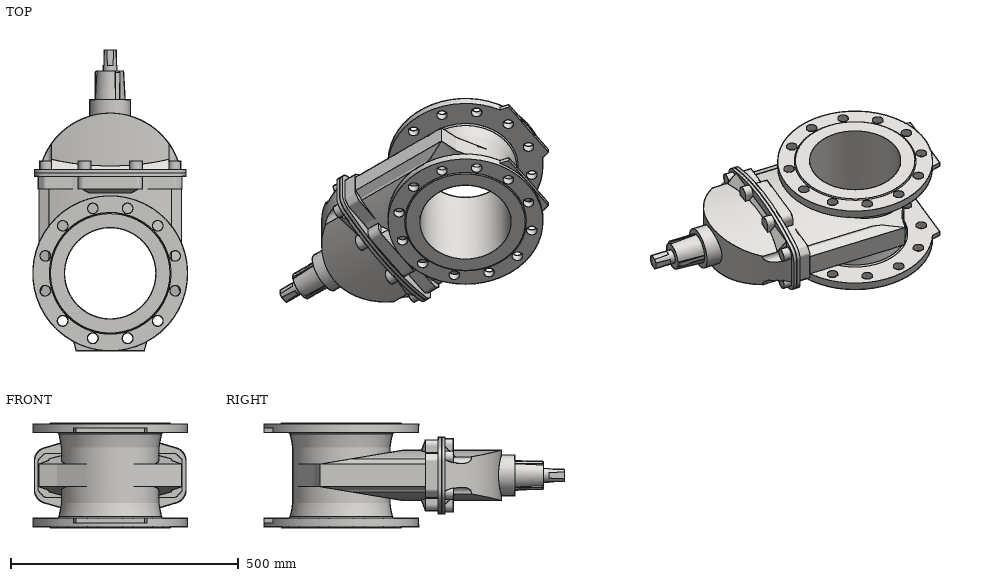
import cadquery as cq
import math


FACE_TO_FACE = 230.0
BORE_DIA = 200.0
PIPE_DIA = 214.0
FLANGE_DIA = 340.0
FLANGE_THICKNESS = 19.0
RAISED_FACE_HEIGHT = 2.0
RAISED_FACE_BASE_RADIUS = 133.5
RAISED_FACE_TOP_RADIUS = 131.0
BOLT_CIRCLE_DIA = 295.0
BOLT_HOLE_DIA = 23.0
BOLT_HOLE_COUNT = 12
STRAIGHT_PIPE_HALF_LENGTH = 61.0
NECK_RADIUS = 112.5
NECK_LIP_RADIUS = 115.5
NECK_LIP_HEIGHT = 3.5

FOOT_TOP_Y = -149.0
FOOT_TOP_HALF_WIDTH = 80.5
FOOT_BOTTOM_HALF_WIDTH = 75.0
FOOT_THICKNESS = 10.5

HOUSING_HALF_WIDTH = 156.5
HOUSING_HALF_DEPTH = 55.5
CROWN_HALF_WIDTH = 134.0
CROWN_EDGE_Z = 36.2
GROOVE_X = 135.3
GROOVE_Z = 33.0
SHOULDER_X = 138.5
SHOULDER_Z = 31.4
SIDE_HALF_DEPTH = 24.7
TAPER_START_Y = 136.0
SIDE_END_Y = -46.7
HOUSING_BEND_X = 116.5
HOUSING_BEND_Y = -58.0
TANGENT_ANGLE = math.radians(61.0)

JOINT_BOTTOM_Y = 212.5
JOINT_TOP_Y = 228.0
JOINT_HALF_WIDTH = 166.6
JOINT_HALF_DEPTH = 84.7
JOINT_CROWN_RADIUS = 448.0
JOINT_CORNER_RADIUS = 30.0
SEAM_WIDTH = 0.6
SEAM_DEPTH = 1.0

PAD_BOTTOM_Y = 184.5
SCREW_BOSS_DIA = 28.0
SCREW_BOSS_RADIUS = SCREW_BOSS_DIA / 2
CORNER_PAD_HALF_WIDTH = 158.0
CORNER_PAD_HALF_DEPTH = 48.2
CORNER_PAD_CHAMFER = 14.0
CORNER_PAD_BLEND_RADIUS = 8.0
CENTRE_PAD_HALF_WIDTH = 70.5
CENTRE_PAD_HALF_DEPTH = 78.0
PAD_TIP_Y = 176.0
PAD_TIP_BASE_HALF_WIDTH = 61.0
PAD_TIP_HALF_WIDTH = 46.0
SCREW_HEIGHT = 18.0
INNER_SCREW_X = CENTRE_PAD_HALF_WIDTH - SCREW_BOSS_RADIUS
INNER_SCREW_Z = 66.6
OUTER_SCREW_X = 141.0
OUTER_SCREW_Z = 39.0

DOME_RADIUS = 158.0
DOME_TOP_Y = 351.5
DOME_CROWN_RADIUS = 574.0
SCOOP_RADIUS = 12.5
SCOOP_Z = 38.5
SCOOP_TOP_Y = 290.0
SKIRT_BASE_HALF_DEPTH = 63.0
SKIRT_HALF_WIDTH = OUTER_SCREW_X - SCOOP_RADIUS
SKIRT_HEIGHT = 26.0

COLLAR_RADIUS = 45.0
COLLAR_TOP_Y = 381.0
GLAND_TOP_Y = 444.0
GLAND_BASE_RADIUS = 33.0
GLAND_TOP_RADIUS = 29.5
GLAND_RIB_RADIUS = 33.3
GLAND_RIB_WIDTH = 10.5
GLAND_RIB_CHAMFER = 3.0
GLAND_RIB_COUNT = 3
STEM_TOP_Y = 490.06
STEM_RADIUS = 15.4
STEM_FLAT_END_Y = 455.5
STEM_FLAT_TOP_DISTANCE = 13.4
STEM_FLAT_END_DISTANCE = 14.2


def plane_at_y(y):
    """Sketch plane across the stem axis: local x = -X, local y = Z, normal = +Y."""
    return cq.Workplane(cq.Plane(origin=(0, y, 0), xDir=(-1, 0, 0), normal=(0, 1, 0)))


def disc(y_start, y_end, radius, x=0, z=0):
    """Cylinder parallel to the stem axis, centred on (x, z)."""
    return plane_at_y(y_start).center(-x, z).circle(radius).extrude(y_end - y_start)


def crowned_block(half_width, half_depth, crown_radius, y_start, y_end):
    """Block whose upper and lower sides bulge as arcs of crown_radius."""
    edge_z = half_depth - crown_radius + math.sqrt(crown_radius**2 - half_width**2)
    return (
        plane_at_y(y_start)
        .moveTo(-half_width, edge_z)
        .threePointArc((0, half_depth), (half_width, edge_z))
        .lineTo(half_width, -edge_z)
        .threePointArc((0, -half_depth), (-half_width, -edge_z))
        .close()
        .extrude(y_end - y_start)
    )


def pipe():
    """Solid pipe with flared necks and footed end flanges, symmetric about the XY plane."""
    half = FACE_TO_FACE / 2
    flange_face = half - RAISED_FACE_HEIGHT
    flange_back = flange_face - FLANGE_THICKNESS
    upper_half = (
        cq.Workplane("XZ")
        .polyline([
            (0, 0),
            (PIPE_DIA / 2, 0),
            (PIPE_DIA / 2, STRAIGHT_PIPE_HALF_LENGTH),
            (NECK_RADIUS, flange_back - NECK_LIP_HEIGHT),
            (NECK_LIP_RADIUS, flange_back),
            (FLANGE_DIA / 2, flange_back),
            (FLANGE_DIA / 2, flange_face),
            (RAISED_FACE_BASE_RADIUS, flange_face),
            (RAISED_FACE_TOP_RADIUS, half),
            (0, half),
        ])
        .close()
        .revolve(360, (0, 0, 0), (0, 1, 0))
        .union(foot(flange_back))
    )
    return upper_half.union(upper_half.mirror("XY"))


def foot(flange_back):
    """Flat foot filling out the lowest part of a flange rim."""
    bottom_y = -FLANGE_DIA / 2
    return (
        cq.Workplane("XY", origin=(0, 0, flange_back))
        .polyline([
            (-FOOT_TOP_HALF_WIDTH, FOOT_TOP_Y),
            (FOOT_TOP_HALF_WIDTH, FOOT_TOP_Y),
            (FOOT_BOTTOM_HALF_WIDTH, bottom_y),
            (-FOOT_BOTTOM_HALF_WIDTH, bottom_y),
        ])
        .close()
        .extrude(FOOT_THICKNESS)
    )


def bore_and_bolt_holes():
    """Cutting tools for the pipe bore and for the holes through both flanges."""
    start = cq.Workplane("XY", origin=(0, 0, -FACE_TO_FACE / 2))
    bore = start.circle(BORE_DIA / 2).extrude(FACE_TO_FACE)
    bolt_holes = (
        start
        .polarArray(BOLT_CIRCLE_DIA / 2, 180 / BOLT_HOLE_COUNT, 360, BOLT_HOLE_COUNT)
        .circle(BOLT_HOLE_DIA / 2)
        .extrude(FACE_TO_FACE)
    )
    return bore, bolt_holes


def housing():
    """Gate housing: crowned section, tapered in depth and run out onto the pipe."""
    tangent_x = PIPE_DIA / 2 * math.cos(TANGENT_ANGLE)
    tangent_y = -PIPE_DIA / 2 * math.sin(TANGENT_ANGLE)
    section = (
        plane_at_y(tangent_y)
        .moveTo(-CROWN_HALF_WIDTH, CROWN_EDGE_Z)
        .threePointArc((0, HOUSING_HALF_DEPTH), (CROWN_HALF_WIDTH, CROWN_EDGE_Z))
        .threePointArc((GROOVE_X, GROOVE_Z), (SHOULDER_X, SHOULDER_Z))
        .lineTo(HOUSING_HALF_WIDTH, SIDE_HALF_DEPTH)
        .lineTo(HOUSING_HALF_WIDTH, -SIDE_HALF_DEPTH)
        .lineTo(SHOULDER_X, -SHOULDER_Z)
        .threePointArc((GROOVE_X, -GROOVE_Z), (CROWN_HALF_WIDTH, -CROWN_EDGE_Z))
        .threePointArc((0, -HOUSING_HALF_DEPTH), (-CROWN_HALF_WIDTH, -CROWN_EDGE_Z))
        .threePointArc((-GROOVE_X, -GROOVE_Z), (-SHOULDER_X, -SHOULDER_Z))
        .lineTo(-HOUSING_HALF_WIDTH, -SIDE_HALF_DEPTH)
        .lineTo(-HOUSING_HALF_WIDTH, SIDE_HALF_DEPTH)
        .lineTo(-SHOULDER_X, SHOULDER_Z)
        .threePointArc((-GROOVE_X, GROOVE_Z), (-CROWN_HALF_WIDTH, CROWN_EDGE_Z))
        .close()
        .extrude(JOINT_BOTTOM_Y - tangent_y)
    )
    plan = (
        cq.Workplane("XY", origin=(0, 0, -HOUSING_HALF_DEPTH))
        .polyline([
            (HOUSING_HALF_WIDTH, JOINT_BOTTOM_Y),
            (HOUSING_HALF_WIDTH, SIDE_END_Y),
            (HOUSING_BEND_X, HOUSING_BEND_Y),
            (tangent_x, tangent_y),
            (-tangent_x, tangent_y),
            (-HOUSING_BEND_X, HOUSING_BEND_Y),
            (-HOUSING_HALF_WIDTH, SIDE_END_Y),
            (-HOUSING_HALF_WIDTH, JOINT_BOTTOM_Y),
        ])
        .close()
        .extrude(2 * HOUSING_HALF_DEPTH)
    )
    side = (
        cq.Workplane("YZ", origin=(-HOUSING_HALF_WIDTH, 0, 0))
        .polyline([
            (JOINT_BOTTOM_Y, HOUSING_HALF_DEPTH),
            (TAPER_START_Y, HOUSING_HALF_DEPTH),
            (SIDE_END_Y, SIDE_HALF_DEPTH),
            (tangent_y, SIDE_HALF_DEPTH),
            (tangent_y, -SIDE_HALF_DEPTH),
            (SIDE_END_Y, -SIDE_HALF_DEPTH),
            (TAPER_START_Y, -HOUSING_HALF_DEPTH),
            (JOINT_BOTTOM_Y, -HOUSING_HALF_DEPTH),
        ])
        .close()
        .extrude(2 * HOUSING_HALF_WIDTH)
    )
    return section.intersect(plan).intersect(side)


def joint_plate(inset, y_start, y_end):
    """Round-cornered joint outline, shrunk by inset on every side."""
    return (
        crowned_block(
            JOINT_HALF_WIDTH - inset,
            JOINT_HALF_DEPTH - inset,
            JOINT_CROWN_RADIUS - inset,
            y_start,
            y_end,
        )
        .edges("|Y")
        .fillet(JOINT_CORNER_RADIUS - inset)
    )


def bonnet_joint():
    """Two mating plates parted by a shallow seam groove."""
    seam_y = (JOINT_BOTTOM_Y + JOINT_TOP_Y) / 2
    lower = joint_plate(0, JOINT_BOTTOM_Y, seam_y - SEAM_WIDTH / 2)
    upper = joint_plate(0, seam_y + SEAM_WIDTH / 2, JOINT_TOP_Y)
    core = joint_plate(SEAM_DEPTH, JOINT_BOTTOM_Y, JOINT_TOP_Y)
    return core.union(lower).union(upper)


def joint_pads():
    """Pads under the joint: one block spanning the corners, one spanning the inner screws."""
    pad_height = JOINT_BOTTOM_Y - PAD_BOTTOM_Y
    corner_pads = (
        plane_at_y(PAD_BOTTOM_Y)
        .rect(2 * CORNER_PAD_HALF_WIDTH, 2 * CORNER_PAD_HALF_DEPTH)
        .extrude(pad_height)
        .edges("|Y")
        .chamfer(CORNER_PAD_CHAMFER)
        .edges("|Y")
        .fillet(CORNER_PAD_BLEND_RADIUS)
    )
    centre_pads = (
        plane_at_y(PAD_BOTTOM_Y)
        .rect(2 * CENTRE_PAD_HALF_WIDTH, 2 * CENTRE_PAD_HALF_DEPTH)
        .extrude(pad_height)
        .edges("|Y")
        .fillet(SCREW_BOSS_RADIUS)
    )
    tapered_tips = (
        plane_at_y(PAD_BOTTOM_Y)
        .rect(2 * PAD_TIP_BASE_HALF_WIDTH, 2 * CENTRE_PAD_HALF_DEPTH)
        .workplane(offset=PAD_TIP_Y - PAD_BOTTOM_Y)
        .rect(2 * PAD_TIP_HALF_WIDTH, 2 * HOUSING_HALF_DEPTH)
        .loft()
    )
    return corner_pads.union(centre_pads).union(tapered_tips)


def bonnet_skirt():
    """Base of the bonnet, flaring at 45 degrees down to the joint plate."""
    top_y = JOINT_TOP_Y + SKIRT_HEIGHT
    return (
        cq.Workplane("YZ", origin=(-SKIRT_HALF_WIDTH, 0, 0))
        .polyline([
            (JOINT_TOP_Y, -SKIRT_BASE_HALF_DEPTH),
            (JOINT_TOP_Y, SKIRT_BASE_HALF_DEPTH),
            (top_y, SKIRT_BASE_HALF_DEPTH - SKIRT_HEIGHT),
            (top_y, SKIRT_HEIGHT - SKIRT_BASE_HALF_DEPTH),
        ])
        .close()
        .extrude(2 * SKIRT_HALF_WIDTH)
        .intersect(joint_plate(0, JOINT_TOP_Y, top_y))
    )


def bonnet():
    """Domed bonnet, scooped out above its outer screws."""
    dome = (
        cq.Workplane("XY", origin=(0, DOME_TOP_Y - DOME_RADIUS, -HOUSING_HALF_DEPTH))
        .circle(DOME_RADIUS)
        .extrude(2 * HOUSING_HALF_DEPTH)
        .intersect(
            crowned_block(DOME_RADIUS, HOUSING_HALF_DEPTH, DOME_CROWN_RADIUS, JOINT_TOP_Y, DOME_TOP_Y)
        )
        .union(bonnet_skirt())
    )
    for x_side in (-1, 1):
        for z_side in (-1, 1):
            scoop = disc(
                JOINT_TOP_Y, SCOOP_TOP_Y, SCOOP_RADIUS, x_side * OUTER_SCREW_X, z_side * SCOOP_Z
            )
            dome = dome.cut(scoop)
    return dome.union(screw_bosses())


def screw_bosses():
    """Round outer bosses, and inner bosses with straight flanks running into the bonnet."""
    top_y = JOINT_TOP_Y + SCREW_HEIGHT
    bosses = (
        plane_at_y(JOINT_TOP_Y)
        .pushPoints([(-INNER_SCREW_X, 0), (INNER_SCREW_X, 0)])
        .slot2D(2 * (INNER_SCREW_Z + SCREW_BOSS_RADIUS), SCREW_BOSS_DIA, 90)
        .extrude(SCREW_HEIGHT)
    )
    for x_side in (-1, 1):
        for z_side in (-1, 1):
            outer = disc(
                JOINT_TOP_Y, top_y, SCREW_BOSS_RADIUS, x_side * OUTER_SCREW_X, z_side * OUTER_SCREW_Z
            )
            bosses = bosses.union(outer)
    return bosses


def gland():
    """Collar and tapered gland, with ribs spaced around the gland."""
    height = GLAND_TOP_Y - COLLAR_TOP_Y
    body = (
        plane_at_y(COLLAR_TOP_Y)
        .circle(GLAND_BASE_RADIUS)
        .workplane(offset=height)
        .circle(GLAND_TOP_RADIUS)
        .loft()
    )
    rib = (
        cq.Workplane("XY", origin=(0, 0, -GLAND_RIB_WIDTH / 2))
        .polyline([
            (0, COLLAR_TOP_Y),
            (-GLAND_RIB_RADIUS, COLLAR_TOP_Y),
            (-GLAND_RIB_RADIUS, GLAND_TOP_Y - GLAND_RIB_CHAMFER),
            (GLAND_RIB_CHAMFER - GLAND_RIB_RADIUS, GLAND_TOP_Y),
            (0, GLAND_TOP_Y),
        ])
        .close()
        .extrude(GLAND_RIB_WIDTH)
    )
    for i in range(GLAND_RIB_COUNT):
        body = body.union(rib.rotate((0, 0, 0), (0, 1, 0), i * 360 / GLAND_RIB_COUNT))
    return body.union(disc(DOME_TOP_Y - COLLAR_RADIUS, COLLAR_TOP_Y, COLLAR_RADIUS))


def stem():
    """Round stem with four flats converging towards its free end."""
    shaft = disc(GLAND_TOP_Y, STEM_TOP_Y, STEM_RADIUS)
    flat_cut = (
        cq.Workplane("XY", origin=(0, 0, -STEM_RADIUS))
        .polyline([
            (STEM_FLAT_TOP_DISTANCE, STEM_TOP_Y),
            (STEM_FLAT_END_DISTANCE, STEM_FLAT_END_Y),
            (STEM_RADIUS, STEM_FLAT_END_Y),
            (STEM_RADIUS, STEM_TOP_Y),
        ])
        .close()
        .extrude(2 * STEM_RADIUS)
    )
    for angle in (0, 90, 180, 270):
        shaft = shaft.cut(flat_cut.rotate((0, 0, 0), (0, 1, 0), angle))
    return shaft


bore, bolt_holes = bore_and_bolt_holes()
result = pipe().cut(bolt_holes)
for piece in (housing(), joint_pads(), bonnet_joint(), bonnet(), gland(), stem()):
    result = result.union(piece)
result = result.cut(bore)